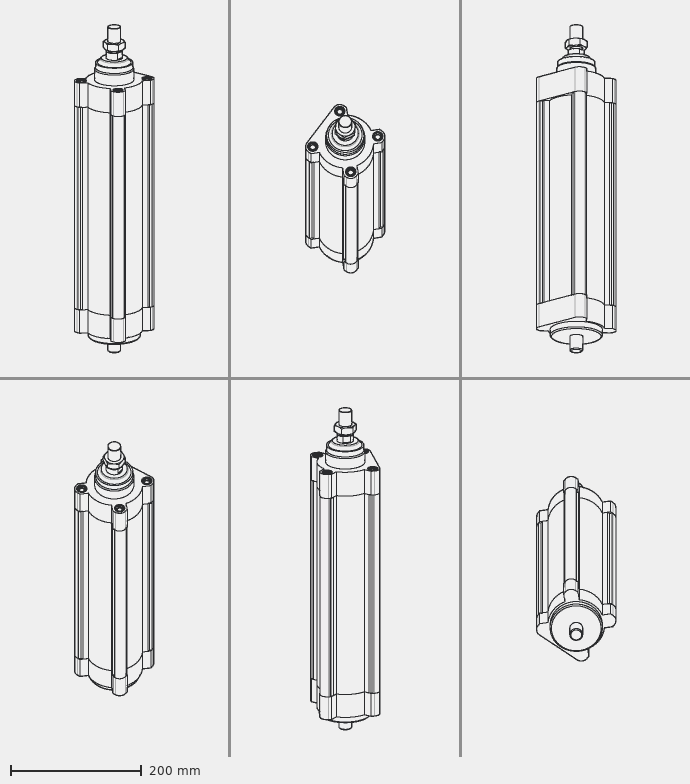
import cadquery as cq
import math

rear_boss_z = 23.5
rear_cap_z = 34.5
barrel_bottom_z = 72.0
barrel_top_z = 399.0
front_cap_top_z = 438.0
front_boss_top_z = 455.5
collar_bottom_z = 457.5
collar_top_z = 466.0
wiper_edge_z = 471.5
wiper_top_z = 473.0
wrench_flat_z = 474.5
rod_shoulder_z = 484.0
nut_bottom_z = 488.5
nut_top_z = 500.0
overall_length = 523.5

width = 93.0
half_width = width / 2
body_radius = 43.5
lobe_radius = 11.0
lobe_flat_end = 31.0
screw_offset = half_width - lobe_radius
barrel_flat_end = 33.5
ledge_start = 31.5
ledge_end = 28.0

front_boss_diameter = 60.0
collar_diameter = 57.0
wiper_base_diameter = 51.5
wiper_edge_diameter = 43.0
wiper_top_diameter = 40.0
rear_boss_diameter = 80.0
rear_boss_chamfer = 2.0

recess_diameter = 15.5
recess_rim_depth = 1.0
recess_floor_diameter = 14.0
countersink_diameter = 11.5
countersink_depth = 1.0
socket_diameter = 8.5
socket_depth = 4.0

rod_diameter = 25.0
wrench_flat_width = 22.0
undercut_diameter = 18.5
thread_diameter = 20.0
thread_tip_chamfer = 0.5
tail_chamfer = 1.5
nut_across_flats = 30.0
nut_chamfer_height = 1.3


def flank_meeting(flat_end):
    """Place where the 45 degree flank from (flat_end, half_width) meets the round body."""
    offset = half_width - flat_end
    x = (math.sqrt(2 * body_radius**2 - offset**2) - offset) / 2
    return x, x + offset


flank_x, flank_y = flank_meeting(lobe_flat_end)
ledge_y = half_width - lobe_flat_end + ledge_end
lobe_arc_middle = screw_offset + lobe_radius * math.sqrt(0.5)


def lobed_outline(side_points, flat_sides):
    """Square outline with four corner lobes joined by round flanks.

    `side_points` run from the end of a lobe's arc to the round flank, for the lobe at +X +Y
    on its +Y side. A side is numbered by its quarter turns from +Y; those in `flat_sides`
    run straight from lobe to lobe instead.
    """

    def turned(point, quarter_turns):
        x, y = point
        for _ in range(quarter_turns):
            x, y = -y, x
        return x, y

    arc_start = (screw_offset, half_width)
    outline = cq.Workplane("XY").moveTo(*arc_start)
    for side in range(4):
        if side not in flat_sides:
            for point in side_points:
                outline = outline.lineTo(*turned(point, side))
            far_points = [(-x, y) for x, y in reversed(side_points)]
            outline = outline.threePointArc(turned((0, body_radius), side), turned(far_points[0], side))
            for point in far_points[1:]:
                outline = outline.lineTo(*turned(point, side))
        outline = outline.lineTo(*turned((-screw_offset, half_width), side))
        outline = outline.threePointArc(
            turned((-lobe_arc_middle, lobe_arc_middle), side), turned((-half_width, screw_offset), side)
        )
    return outline.close()


def cap_block(bottom_z, top_z):
    """Cap with a plain port face on its +Y side."""
    side_points = [(lobe_flat_end, half_width), (flank_x, flank_y)]
    block = lobed_outline(side_points, flat_sides=[0]).extrude(top_z - bottom_z)
    return block.translate((0, 0, bottom_z))


def cylinder(diameter, bottom_z, top_z):
    return cq.Workplane("XY").workplane(offset=bottom_z).circle(diameter / 2).extrude(top_z - bottom_z)


def turned_body(profile):
    """Solid of revolution about Z from (diameter, z) pairs, closed along the axis."""
    points = [(diameter / 2, z) for diameter, z in profile]
    axis_points = [(0, points[-1][1]), (0, points[0][1])]
    return cq.Workplane("XZ").polyline(points + axis_points).close().revolve(360, (0, 0), (0, 1))


def screw_recess(x, y):
    """Shallow conical rim with a countersunk screw socket in its floor."""
    rim_floor_z = front_cap_top_z - recess_rim_depth
    recess = turned_body([
        (socket_diameter, front_cap_top_z - socket_depth),
        (socket_diameter, rim_floor_z - countersink_depth),
        (countersink_diameter, rim_floor_z),
        (recess_floor_diameter, rim_floor_z),
        (recess_diameter, front_cap_top_z),
    ])
    return recess.translate((x, y, 0))


def make_rod():
    """Piston rod with a threaded front end, wrench flats and a plain rear tail."""
    rod = turned_body([
        (thread_diameter - 2 * tail_chamfer, 0),
        (thread_diameter, tail_chamfer),
        (thread_diameter, barrel_bottom_z),
        (rod_diameter, barrel_bottom_z),
        (rod_diameter, rod_shoulder_z),
        (undercut_diameter, rod_shoulder_z),
        (undercut_diameter, nut_bottom_z),
        (thread_diameter, nut_bottom_z),
        (thread_diameter, overall_length - thread_tip_chamfer),
        (thread_diameter - 2 * thread_tip_chamfer, overall_length),
    ])
    flats_height = rod_shoulder_z - wrench_flat_z
    flats_section = cylinder(rod_diameter, wrench_flat_z, rod_shoulder_z)
    between_flats = (
        cq.Workplane("XY").workplane(offset=wrench_flat_z)
        .rect(wrench_flat_width, rod_diameter).extrude(flats_height)
    )
    return rod.cut(flats_section.cut(between_flats))


def make_nut():
    """Hexagon nut with flats facing +X and -X, and both faces turned to a conical chamfer."""
    across_corners = nut_across_flats / math.cos(math.pi / 6)
    hexagon = (
        cq.Workplane("XY").workplane(offset=nut_bottom_z)
        .transformed(rotate=(0, 0, 90))
        .polygon(6, across_corners).extrude(nut_top_z - nut_bottom_z)
    )
    chamfer_envelope = turned_body([
        (nut_across_flats, nut_bottom_z),
        (across_corners, nut_bottom_z + nut_chamfer_height),
        (across_corners, nut_top_z - nut_chamfer_height),
        (nut_across_flats, nut_top_z),
    ])
    bore = cylinder(thread_diameter, nut_bottom_z, nut_top_z)
    return hexagon.intersect(chamfer_envelope).cut(bore)


def make_front_cap():
    """Front cap with stepped bearing neck, rod bore and four screw recesses."""
    neck = turned_body([
        (front_boss_diameter, front_cap_top_z),
        (front_boss_diameter, front_boss_top_z),
        (collar_diameter, collar_bottom_z),
        (collar_diameter, collar_top_z),
        (wiper_base_diameter, collar_top_z),
        (wiper_edge_diameter, wiper_edge_z),
        (wiper_top_diameter, wiper_top_z),
    ])
    cap = cap_block(barrel_top_z, front_cap_top_z).union(neck)
    for x in (-screw_offset, screw_offset):
        for y in (-screw_offset, screw_offset):
            cap = cap.cut(screw_recess(x, y))
    return cap.cut(cylinder(rod_diameter, barrel_top_z, wiper_top_z))


def make_barrel():
    """Profile barrel whose lobes have a small ledge on each flank."""
    side_points = [
        (barrel_flat_end, half_width),
        (ledge_start, ledge_y),
        (ledge_end, ledge_y),
        (flank_x, flank_y),
    ]
    barrel = lobed_outline(side_points, flat_sides=[]).extrude(barrel_top_z - barrel_bottom_z)
    barrel = barrel.translate((0, 0, barrel_bottom_z))
    return barrel.cut(cylinder(rod_diameter, barrel_bottom_z, barrel_top_z))


def make_rear_cap():
    """Rear cap with a chamfered round boss and a bore for the rod tail."""
    boss = cylinder(rear_boss_diameter, rear_boss_z, rear_cap_z).faces("<Z").chamfer(rear_boss_chamfer)
    cap = cap_block(rear_cap_z, barrel_bottom_z).union(boss)
    return cap.cut(cylinder(thread_diameter, rear_boss_z, barrel_bottom_z))


rod = make_rod()
nut = make_nut()
front_cap = make_front_cap()
barrel = make_barrel()
rear_cap = make_rear_cap()

result = cq.Compound.makeCompound([
    rod.val(),
    nut.val(),
    front_cap.val(),
    barrel.val(),
    rear_cap.val(),
])